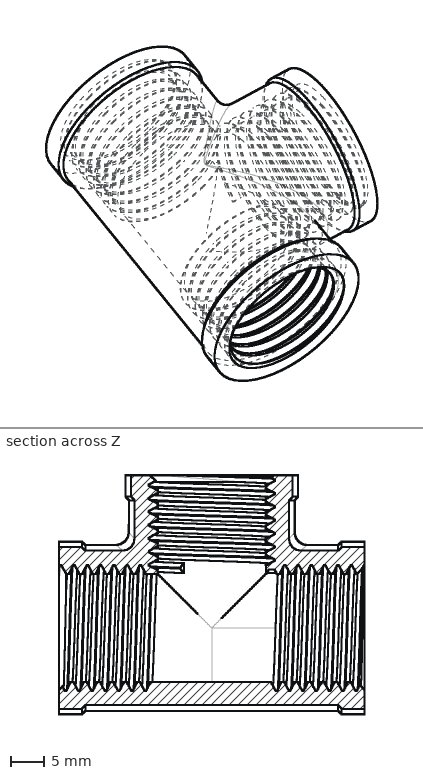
import cadquery as cq
import math

run_length = 46.0
branch_reach = 23.0
body_radius = 12.5
collar_radius = 13.0
run_collar_length = 3.45
branch_collar_length = 3.25
collar_taper_length = 0.55
junction_fillet = 1.9
branch_clearance = 0.01

bore_radius = 9.27
mouth_radius = 10.35
thread_root_radius = 10.45
thread_pitch = 2.0
thread_turns = 7
thread_start_angle = 117.0
thread_crest_width = 0.5
thread_flank_angle = 30.0
profile_overlap = 0.2

run_reach = run_length / 2
thread_length = thread_turns * thread_pitch


def place_at_ends(socket_part):
    """Copy a part built along Z, mouth up at Z = 0, to the three openings of the tee."""
    origin = cq.Vector(0, 0, 0)
    right = socket_part.rotate(origin, cq.Vector(0, 1, 0), 90).translate(cq.Vector(run_reach, 0, 0))
    left = socket_part.rotate(origin, cq.Vector(0, 1, 0), -90).translate(cq.Vector(-run_reach, 0, 0))
    back = socket_part.rotate(origin, cq.Vector(1, 0, 0), -90).translate(cq.Vector(0, branch_reach, 0))
    return [right, left, back]


def make_run():
    """Straight bar along X with a tapered collar at each end, turned about its axis."""
    collar_start = run_reach - run_collar_length
    taper_start = collar_start - collar_taper_length
    outline = [
        (-run_reach, 0),
        (-run_reach, collar_radius),
        (-collar_start, collar_radius),
        (-taper_start, body_radius),
        (taper_start, body_radius),
        (collar_start, collar_radius),
        (run_reach, collar_radius),
        (run_reach, 0),
    ]
    return cq.Workplane("XZ").polyline(outline).close().revolve(360, (0, 0), (1, 0))


def make_branch():
    """Side bar along +Y with a tapered collar at its open end, turned about its axis."""
    branch_radius = body_radius - branch_clearance
    collar_start = branch_reach - branch_collar_length
    outline = [
        (0, 0),
        (branch_radius, 0),
        (branch_radius, collar_start - collar_taper_length),
        (collar_radius, collar_start),
        (collar_radius, branch_reach),
        (0, branch_reach),
    ]
    return cq.Workplane("XY").polyline(outline).close().revolve(360, (0, 0), (0, 1))


def make_body():
    """Run and branch joined, with the crease between them rounded."""
    body = make_run().union(make_branch())
    creases = [edge for edge in body.edges().vals() if edge.geomType() not in ("LINE", "CIRCLE")]
    return body.val().fillet(junction_fillet, creases)


def make_thread_groove():
    """Helical groove between the thread crests, overrunning the mouth by one turn."""
    inner_radius = bore_radius - profile_overlap
    flank_slope = math.tan(math.radians(thread_flank_angle))
    bore_half_width = (thread_pitch - thread_crest_width) / 2
    inner_half_width = bore_half_width + profile_overlap * flank_slope
    root_half_width = bore_half_width - (thread_root_radius - bore_radius) * flank_slope
    profile = [
        (inner_radius, -inner_half_width),
        (thread_root_radius, -root_half_width),
        (thread_root_radius, root_half_width),
        (inner_radius, inner_half_width),
    ]
    helix = cq.Wire.makeHelix(thread_pitch, thread_length + thread_pitch, bore_radius)
    groove = cq.Workplane("XZ").polyline(profile).close().sweep(cq.Workplane(helix), isFrenet=True)
    groove = groove.rotate((0, 0, 0), (0, 0, 1), thread_start_angle)
    return groove.translate((0, 0, -thread_length))


def make_socket():
    """Space inside one arm of the tee: plain bore with the thread groove cut into its wall."""
    bore = cq.Workplane("XY").circle(bore_radius).extrude(-run_reach)
    return bore.union(make_thread_groove(), clean=False).val()


def make_countersink():
    """45 degree cone that opens the mouth of a socket."""
    depth = mouth_radius - bore_radius
    return cq.Solid.makeCone(bore_radius, mouth_radius, depth, cq.Vector(0, 0, -depth))


tee = make_body()
tee = tee.cut(*place_at_ends(make_socket()))
tee = tee.cut(*place_at_ends(make_countersink()))
result = cq.Workplane(tee)